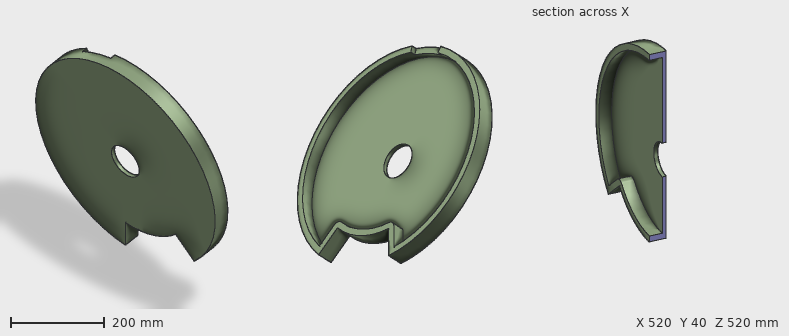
import cadquery as cq
import math

disc_radius = 260.0
disc_thickness = 40.0
bore_radius = 40.0

cutout_inner_radius = 190.0
cutout_start_angle = -90.0
cutout_end_angle = -40.0

plate_thickness = 10.0
wall_thickness = 15.0

notch_depth = 13.0
notch_start_angle = 105.0
notch_end_angle = 125.0

rim_clearance = 26.0

notch_overlap = 5.0


def polar(radius, angle):
    """Point at a radius and an angle in degrees around the disc axis."""
    return radius * math.cos(math.radians(angle)), radius * math.sin(math.radians(angle))


def ring_sector(inner_radius, start_angle, end_angle, depth):
    """Sector cutter reaching past the rim, from the +Y face (y = 0) towards -Y."""
    outer_radius = disc_radius + rim_clearance
    middle_angle = (start_angle + end_angle) / 2
    return (
        cq.Workplane("XZ")
        .moveTo(*polar(inner_radius, start_angle))
        .lineTo(*polar(outer_radius, start_angle))
        .threePointArc(polar(outer_radius, middle_angle), polar(outer_radius, end_angle))
        .lineTo(*polar(inner_radius, end_angle))
        .threePointArc(polar(inner_radius, middle_angle), polar(inner_radius, start_angle))
        .close()
        .extrude(depth)
    )


disc = cq.Workplane("XZ").circle(disc_radius).extrude(disc_thickness)
cutout = ring_sector(cutout_inner_radius, cutout_start_angle, cutout_end_angle, disc_thickness)
body = disc.cut(cutout)

cavity_depth = disc_thickness - plate_thickness
cavity = body.faces(">Y").wires().toPending().workplane().offset2D(-wall_thickness).extrude(
    -cavity_depth, combine=False
)
housing = body.cut(cavity)

bore = cq.Workplane("XZ").circle(bore_radius).extrude(disc_thickness)

notch_inner_radius = disc_radius - wall_thickness - notch_overlap
notch = ring_sector(notch_inner_radius, notch_start_angle, notch_end_angle, notch_depth)

result = housing.cut(bore).cut(notch)